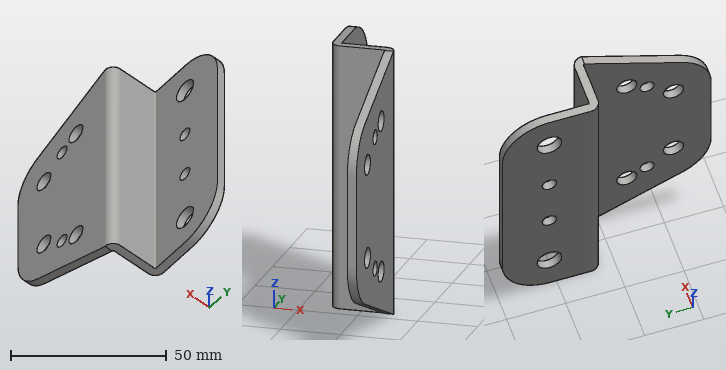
import cadquery as cq
import math

WIDTH = 21.3
DEPTH = 76.7
HEIGHT = 88.9

THICKNESS = 3.0
INNER_BEND = 0.45
OUTER_BEND = INNER_BEND + THICKNESS
WEB_FRONT = 4.9
WEB_BACK = WEB_FRONT + THICKNESS

CORNER_RADIUS = 16.0
TAPER_ANGLE = 23.0

BACK_HOLE_Y = 22.4
BACK_HOLES = [
    (8.3, BACK_HOLE_Y, 31.9),
    (4.8, BACK_HOLE_Y, 10.0),
]
FRONT_HOLES = [
    (6.8, -9.9, 25.4),
    (4.8, -16.7, 22.2),
    (6.8, -25.6, 15.7),
]

left = -WIDTH / 2
right = WIDTH / 2
front = -DEPTH / 2
back = DEPTH / 2
top = HEIGHT / 2


def bent_sheet():
    """Z-shaped sheet section extruded over the full height."""
    section = (
        cq.Workplane("XY")
        .polyline([
            (left, back),
            (left, WEB_FRONT),
            (right - THICKNESS, WEB_FRONT),
            (right - THICKNESS, front),
            (right, front),
            (right, WEB_BACK),
            (left + THICKNESS, WEB_BACK),
            (left + THICKNESS, back),
        ])
        .close()
        .extrude(HEIGHT / 2, both=True)
    )

    def bend_edge(x, y):
        return cq.selectors.NearestToPointSelector((x, y, 0))

    outer_bends = bend_edge(left, WEB_FRONT) + bend_edge(right, WEB_BACK)
    inner_bends = bend_edge(right - THICKNESS, WEB_FRONT) + bend_edge(left + THICKNESS, WEB_BACK)
    section = section.edges(outer_bends).fillet(OUTER_BEND)
    return section.edges(inner_bends).fillet(INNER_BEND)


def side_outline():
    """Bracket outline along X: rounded corners, tapered at the front."""
    taper_start = WEB_BACK - OUTER_BEND
    front_top = top - (taper_start - front) * math.tan(math.radians(TAPER_ANGLE))
    outline = (
        cq.Workplane("YZ", origin=(left, 0, 0))
        .polyline([
            (back, top),
            (taper_start, top),
            (front, front_top),
            (front, -front_top),
            (taper_start, -top),
            (back, -top),
        ])
        .close()
        .extrude(WIDTH)
    )
    return outline.edges("|X and (<Y or >Y)").fillet(CORNER_RADIUS)


def drill_holes(body):
    """Through holes, mirrored about the middle plane."""
    for diameter, y, z in BACK_HOLES + FRONT_HOLES:
        for side in (1, -1):
            cutter = (
                cq.Workplane("YZ", origin=(left, y, side * z))
                .circle(diameter / 2)
                .extrude(WIDTH)
            )
            body = body.cut(cutter)
    return body


result = drill_holes(bent_sheet().intersect(side_outline()))